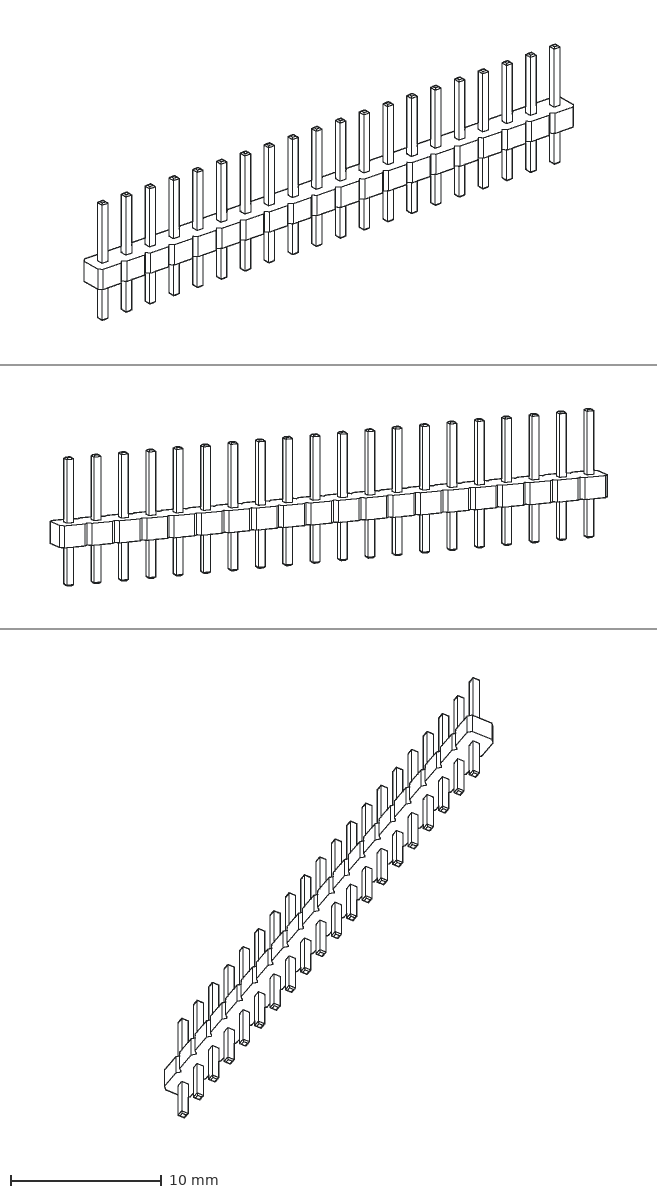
import cadquery as cq

pin_count = 20
row_length = 40.0
pitch = row_length / pin_count

body_width = pitch
body_height = 3 * pitch / 4
corner_chamfer = pitch / 8

pin_width = pitch / 4
pin_above_body = 4.4
pin_below_body = 2.8
pin_length = pin_below_body + body_height + pin_above_body
tip_chamfer = pin_width / 5

pin_positions = [(0, (i - (pin_count - 1) / 2) * pitch) for i in range(pin_count)]


def make_body():
    """Row of touching blocks; their corner chamfers form V-notches between pins."""
    block = cq.Workplane("XY").box(body_width, pitch, body_height, centered=(True, True, False))
    block = block.edges("|Z").chamfer(corner_chamfer).val()
    return (
        cq.Workplane("XY")
        .pushPoints(pin_positions)
        .eachpoint(lambda location: block.moved(location), combine=True)
    )


def make_pins():
    """Square pins through the body, chamfered at both tips."""
    pin = cq.Workplane("XY").box(pin_width, pin_width, pin_length, centered=(True, True, False))
    pin = pin.faces("<Z or >Z").edges().chamfer(tip_chamfer)
    pin = pin.translate((0, 0, -pin_below_body)).val()
    return cq.Workplane("XY").pushPoints(pin_positions).eachpoint(lambda location: pin.moved(location))


result = make_body().union(make_pins()).clean()